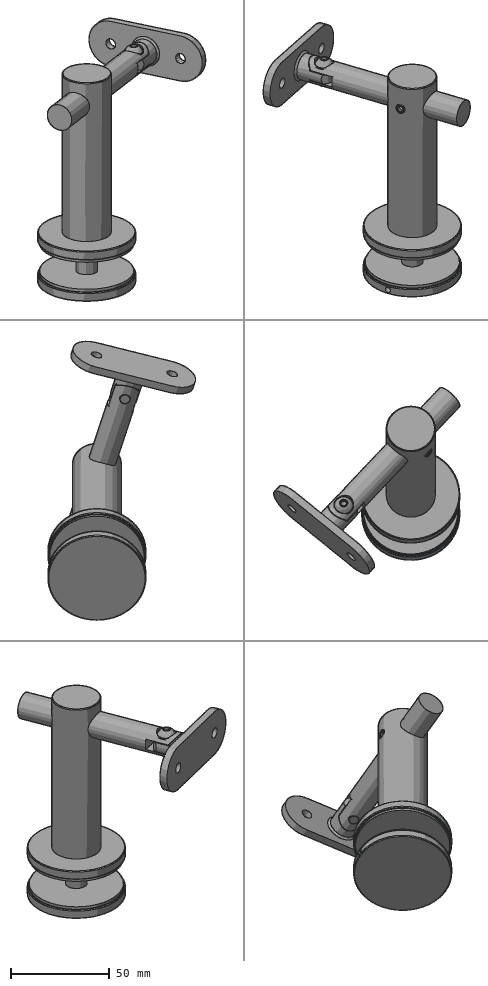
import cadquery as cq
import math

total_height = 116.0
disc_diameter = 50.0
disc_thickness = 5.0
disc_chamfer = 0.5
gasket_diameter = 48.0
gasket_thickness = 1.5
clamp_gap = 15.0
stud_diameter = 11.0
tommy_hole_diameter = 3.0
tommy_hole_depth = 4.0
drill_point_angle = 118.0

post_diameter = 25.0
post_chamfer = 0.5

arm_diameter = 14.0
arm_drop = 13.0
arm_front_reach = 30.0
hinge_reach = 51.7
fork_radius = 7.7
shoulder_gap = 0.2
fork_slot_height = 6.0
fork_slot_setback = 8.5
tongue_thickness = 5.3
tongue_radius = 7.9
tongue_center_setback = 1.4

plate_width = 65.0
plate_height = 25.0
plate_thickness = 4.1
plate_back = 68.9
plate_hole_diameter = 5.5
plate_hole_spacing = 40.0
foot_height = 1.0

screw_head_diameter = 9.5
screw_head_top_diameter = 4.2
screw_head_rise = 1.0
screw_head_height = 3.5
screw_rim_height = 0.7
screw_dome_bulge = 0.3
screw_shank_diameter = 5.0
screw_hole_diameter = 5.5
screw_head_bore = 10.0
socket_diameter = 3.0
socket_depth = 1.5

set_screw_diameter = 5.0
set_screw_chamfer = 0.3
set_screw_recess = 0.3

lower_gasket_bottom = disc_thickness
lower_gasket_top = lower_gasket_bottom + gasket_thickness
upper_gasket_bottom = lower_gasket_top + clamp_gap
flange_bottom = upper_gasket_bottom + gasket_thickness
flange_top = flange_bottom + disc_thickness
arm_level = total_height - arm_drop
arm_radius = arm_diameter / 2
plate_front = plate_back - plate_thickness
screw_top = arm_level + arm_radius + screw_head_rise
screw_seat = screw_top - screw_head_height
screw_rim_top = screw_seat + screw_rim_height


def rod_z(diameter, bottom, top, y=0.0):
    """Cylinder along Z between two levels."""
    return cq.Workplane("XY", origin=(0, y, bottom)).circle(diameter / 2).extrude(top - bottom)


def rod_y(diameter, front, back):
    """Cylinder along Y on the arm axis."""
    return cq.Workplane("XZ", origin=(0, front, arm_level)).circle(diameter / 2).extrude(front - back)


def hinge_slab(thickness):
    """Flat layer at the level of the arm axis, from the fork slot floor to the wall plate."""
    slot_floor = hinge_reach - fork_slot_setback
    length = plate_front - slot_floor
    middle = slot_floor + length / 2
    return cq.Workplane("XY", origin=(0, middle, arm_level)).box(2 * arm_diameter, length, thickness)


def drilled_hole(diameter, depth, start, direction):
    """Blind round hole with a drill-point bottom; depth is to the start of the point."""
    radius = diameter / 2
    tip = radius / math.tan(math.radians(drill_point_angle / 2))
    bottom = cq.Vector(*start) + cq.Vector(*direction) * depth
    barrel = cq.Solid.makeCylinder(radius, depth, cq.Vector(*start), cq.Vector(*direction))
    point = cq.Solid.makeCone(radius, 0, tip, bottom, cq.Vector(*direction))
    return cq.Workplane(barrel).union(cq.Workplane(point))


def make_cap():
    """Lower clamp disc with a drilled hole in its rim for a tommy bar."""
    disc = rod_z(disc_diameter, 0, disc_thickness).edges().chamfer(disc_chamfer)
    rim_point = (-disc_diameter / 2, 0, disc_thickness / 2)
    return disc.cut(drilled_hole(tommy_hole_diameter, tommy_hole_depth, rim_point, (1, 0, 0)))


def make_gasket(bottom):
    """Ring between a clamp disc and the glass."""
    return rod_z(gasket_diameter, bottom, bottom + gasket_thickness).faces(">Z").workplane().hole(stud_diameter)


def make_stud():
    """Stud through both gaskets, from the cap to the flange of the post."""
    return rod_z(stud_diameter, lower_gasket_bottom, flange_bottom)


def make_set_screw():
    """Socket set screw along X that presses on the arm."""
    outer_end = -post_diameter / 2 + set_screw_recess
    inner_end = -arm_radius
    screw = (
        cq.Workplane("YZ", origin=(outer_end, 0, arm_level))
        .circle(set_screw_diameter / 2)
        .extrude(inner_end - outer_end)
        .faces("<X")
        .edges()
        .chamfer(set_screw_chamfer)
    )
    return screw.cut(drilled_hole(socket_diameter, socket_depth, (outer_end, 0, arm_level), (1, 0, 0)))


def make_post():
    """Upright with its clamp flange, bored across for the arm and the set screw."""
    flange = rod_z(disc_diameter, flange_bottom, flange_top).edges().chamfer(disc_chamfer)
    upright = rod_z(post_diameter, flange_bottom, total_height).faces(">Z").edges().chamfer(post_chamfer)
    set_screw_hole = (
        cq.Workplane("YZ", origin=(-post_diameter, 0, arm_level))
        .circle(set_screw_diameter / 2)
        .extrude(post_diameter)
    )
    return flange.union(upright).cut(rod_y(arm_diameter, -post_diameter, post_diameter)).cut(set_screw_hole)


def make_hinge_screw():
    """Dome-head screw through the fork and the tongue."""
    head_radius = screw_head_diameter / 2
    top_radius = screw_head_top_diameter / 2
    shank_radius = screw_shank_diameter / 2
    shank_end = arm_level - arm_radius
    bulge = screw_dome_bulge * math.sqrt(0.5)
    dome_middle = ((head_radius + top_radius) / 2 + bulge, (screw_rim_top + screw_top) / 2 + bulge)
    screw = (
        cq.Workplane("XZ", origin=(0, hinge_reach, 0))
        .moveTo(0, shank_end)
        .lineTo(shank_radius, shank_end)
        .lineTo(shank_radius, screw_seat)
        .lineTo(head_radius, screw_seat)
        .lineTo(head_radius, screw_rim_top)
        .threePointArc(dome_middle, (top_radius, screw_top))
        .lineTo(0, screw_top)
        .close()
        .revolve(360, (0, 0), (0, 1))
    )
    return screw.cut(drilled_hole(socket_diameter, socket_depth, (0, hinge_reach, screw_top), (0, 0, -1)))


def hinge_bore():
    """Shank hole and head counterbore on the hinge axis."""
    shank = rod_z(screw_hole_diameter, arm_level - arm_diameter, arm_level + arm_radius, hinge_reach)
    head = rod_z(screw_head_bore, screw_seat, arm_level + arm_diameter, hinge_reach)
    return shank.union(head)


def round_end(radius, center_reach):
    """Upright cylinder, taller than the arm, that rounds the end of the fork or the tongue."""
    return rod_z(2 * radius, arm_level - arm_diameter, arm_level + arm_diameter, center_reach)


def make_arm():
    """Arm through the post, ending in a rounded fork."""
    straight = rod_y(arm_diameter, -arm_front_reach, hinge_reach)
    fork_end = rod_y(arm_diameter, hinge_reach, plate_front).intersect(round_end(fork_radius, hinge_reach))
    return straight.union(fork_end).cut(hinge_slab(fork_slot_height)).cut(hinge_bore())


def make_wall_plate():
    """Wall plate with a stub, whose rounded tongue sits in the fork slot."""
    plate = (
        cq.Workplane("XZ", origin=(0, plate_back, arm_level))
        .slot2D(plate_width, plate_height)
        .extrude(plate_thickness)
        .faces("<Y")
        .workplane()
        .pushPoints([(-plate_hole_spacing / 2, 0), (plate_hole_spacing / 2, 0)])
        .hole(plate_hole_diameter)
    )
    tongue_center = hinge_reach + tongue_center_setback
    stub = rod_y(arm_diameter, tongue_center, plate_front).union(
        rod_y(arm_diameter, tongue_center - 2 * tongue_radius, tongue_center).intersect(
            round_end(tongue_radius, tongue_center)
        )
    )
    fork_space = round_end(fork_radius + shoulder_gap, hinge_reach).cut(hinge_slab(tongue_thickness))
    foot = cq.Workplane(
        cq.Solid.makeCone(
            arm_radius,
            arm_radius + foot_height,
            foot_height,
            cq.Vector(0, plate_front - foot_height, arm_level),
            cq.Vector(0, 1, 0),
        )
    )
    return plate.union(foot).union(stub.cut(fork_space)).cut(hinge_bore())


cap = make_cap()
gaskets = [make_gasket(bottom) for bottom in (lower_gasket_bottom, upper_gasket_bottom)]
stud = make_stud()
post = make_post()
set_screw = make_set_screw()
arm = make_arm()
hinge_screw = make_hinge_screw()
wall_plate = make_wall_plate()

result = cq.Compound.makeCompound(
    [
        cap.val(),
        *[gasket.val() for gasket in gaskets],
        stud.val(),
        post.val(),
        set_screw.val(),
        arm.val(),
        hinge_screw.val(),
        wall_plate.val(),
    ]
)